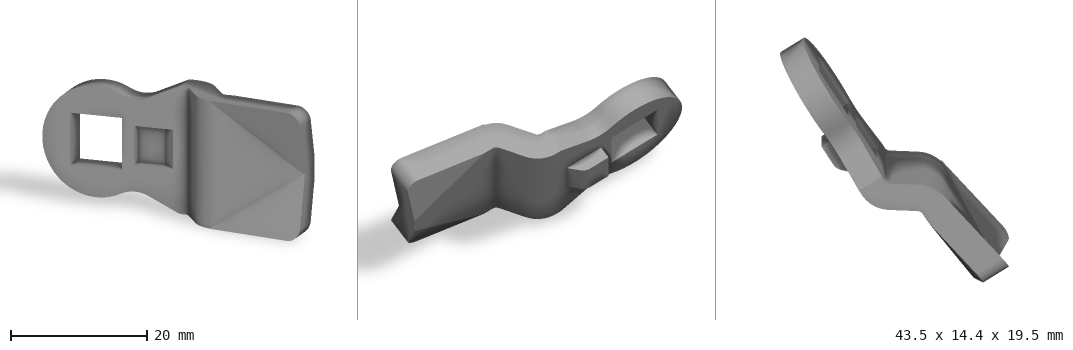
import cadquery as cq
import math

length = 43.5
half_height = 9.75
thickness = 4.0
offset = 6.0

head_radius = 8.5
neck_radius = 5.0
neck_center_x = 14.57
shoulder_x = 21.58
corner_radius = 2.0
square_width = 8.15
square_height = 8.0

tab_start_x = 14.45
tab_end_x = 20.5
tab_width = 5.95
tab_depth = 2.0
tab_round = 2.0

inner_bend_radius = 1.0
outer_bend_radius = inner_bend_radius + thickness
first_bend_x = 22.3
second_bend_x = 29.62

crease_tip_x = 43.33
crease_side_x = 28.4
fold_slope = 0.315
fold_length = 13.05
back_crease_shift = 1.45


def outline():
    """Plate outline seen along Y, extruded through the full depth of the part."""
    center_distance = head_radius + neck_radius
    neck_dx = neck_center_x - head_radius
    neck_z = math.sqrt(center_distance**2 - neck_dx**2)
    touch_ratio = head_radius / center_distance
    head_touch = (head_radius + neck_dx * touch_ratio, neck_z * touch_ratio)

    to_shoulder_x = shoulder_x - neck_center_x
    to_shoulder_z = half_height - neck_z
    shoulder_distance = math.hypot(to_shoulder_x, to_shoulder_z)
    touch_angle = math.atan2(to_shoulder_z, to_shoulder_x) - math.acos(neck_radius / shoulder_distance)
    neck_end = (
        neck_center_x + neck_radius * math.cos(touch_angle),
        neck_z + neck_radius * math.sin(touch_angle),
    )
    neck_bottom = (neck_center_x, neck_z - neck_radius)

    def mirrored(point):
        return (point[0], -point[1])

    return (
        cq.Workplane("XZ")
        .moveTo(*mirrored(head_touch))
        .threePointArc((0, 0), head_touch)
        .threePointArc(neck_bottom, neck_end)
        .lineTo(shoulder_x, half_height)
        .lineTo(length, half_height)
        .lineTo(length, -half_height)
        .lineTo(shoulder_x, -half_height)
        .lineTo(*mirrored(neck_end))
        .threePointArc(mirrored(neck_bottom), mirrored(head_touch))
        .close()
        .extrude(length / 2, both=True)
        .edges("|Y and >X")
        .fillet(corner_radius)
    )


def bent_strip():
    """Strip of constant thickness with two opposite bends whose straight web is tangent to both."""
    bend_y = -inner_bend_radius
    turn = math.asin((inner_bend_radius + outer_bend_radius) / (second_bend_x - first_bend_x))

    def first(radius, angle):
        return (first_bend_x + radius * math.sin(angle), bend_y + radius * math.cos(angle))

    def second(radius, angle):
        return (second_bend_x - radius * math.sin(angle), bend_y - radius * math.cos(angle))

    return (
        cq.Workplane("XY")
        .workplane(offset=-half_height)
        .moveTo(0, 0)
        .lineTo(*first(inner_bend_radius, 0))
        .threePointArc(first(inner_bend_radius, turn / 2), first(inner_bend_radius, turn))
        .lineTo(*second(outer_bend_radius, turn))
        .threePointArc(second(outer_bend_radius, turn / 2), second(outer_bend_radius, 0))
        .lineTo(length, -offset)
        .lineTo(length, thickness - offset)
        .lineTo(*second(inner_bend_radius, 0))
        .threePointArc(second(inner_bend_radius, turn / 2), second(inner_bend_radius, turn))
        .lineTo(*first(outer_bend_radius, turn))
        .threePointArc(first(outer_bend_radius, turn / 2), first(outer_bend_radius, 0))
        .lineTo(0, thickness)
        .close()
        .extrude(2 * half_height)
    )


def fold_prism(points):
    """Prism along the upper crease; points are (distance outward from the crease, y)."""
    run = crease_tip_x - crease_side_x
    plane = cq.Plane(
        origin=(crease_tip_x, 0, 0),
        xDir=(half_height, 0, run),
        normal=(-run, 0, half_height),
    )
    return cq.Workplane(plane).polyline(points).close().extrude(length, both=True)


def fold_corners(body):
    """Fold the upper and lower paddle corners forward about the slanted creases."""
    front_y = -offset
    back_y = thickness - offset
    drop = fold_slope * fold_length
    back_drop = fold_slope * (fold_length - back_crease_shift)
    front = fold_prism([
        (0, front_y),
        (fold_length, front_y - drop),
        (fold_length, front_y + thickness / 2),
        (0, front_y + thickness / 2),
    ])
    back = fold_prism([
        (back_crease_shift, back_y),
        (fold_length, back_y - back_drop),
        (fold_length, back_y),
    ])
    upper_half = cq.Workplane("XY").box(length, 2 * length, half_height, centered=(False, True, False))
    filled_corner = front.intersect(upper_half)
    cut_corner = back.intersect(upper_half)
    for corner in (filled_corner, filled_corner.mirror("XY")):
        body = body.union(corner)
    for corner in (cut_corner, cut_corner.mirror("XY")):
        body = body.cut(corner)
    return body


def tab_block(base_y):
    """Tab shape with a 45 degree end, rising from base_y toward +Y."""
    return (
        cq.Workplane("XY")
        .moveTo(tab_start_x, base_y)
        .lineTo(tab_end_x, base_y)
        .lineTo(tab_end_x - tab_depth, base_y + tab_depth)
        .lineTo(tab_start_x, base_y + tab_depth)
        .close()
        .extrude(tab_width / 2, both=True)
    )


def square_hole():
    return cq.Workplane("XY").box(square_width, 4 * thickness, square_height).translate((head_radius, 0, 0))


body = fold_corners(bent_strip()).intersect(outline())
tab = tab_block(thickness).edges("|Z and >Y").edges(">X").fillet(tab_round)
result = body.union(tab).cut(tab_block(0)).cut(square_hole())